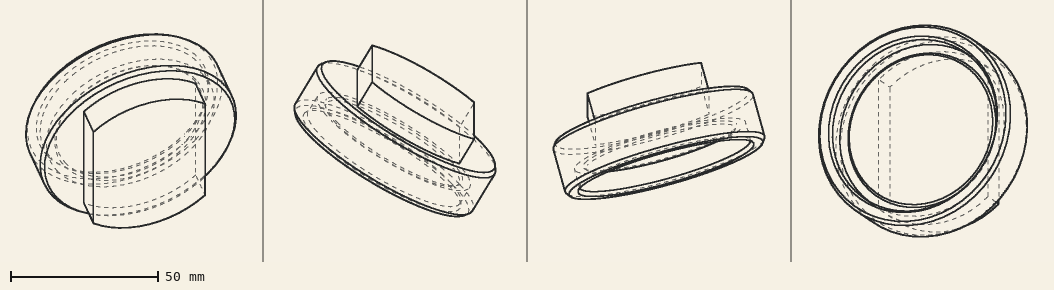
import cadquery as cq

body_diameter = 70.3
body_length = 18.0
rim_chamfer_length = 1.5
rim_chamfer_height = 1.05

tongue_diameter = 60.7
tongue_width = 40.0
tongue_length = 10.0

mouth_diameter = 61.85
recess_diameter = 60.2
mouth_taper_length = 1.5
recess_depth = 8.0
floor_diameter = 54.1
pad_diameter = 52.6
pad_height = 0.85


def make_body():
    radius = body_diameter / 2
    face_radius = radius - rim_chamfer_height
    profile = [
        (0, 0),
        (0, face_radius),
        (rim_chamfer_length, radius),
        (body_length - rim_chamfer_length, radius),
        (body_length, face_radius),
        (body_length, 0),
    ]
    return cq.Workplane("XZ").polyline(profile).close().revolve(360, (0, 0), (1, 0))


def make_recess():
    profile = [
        (0, 0),
        (0, mouth_diameter / 2),
        (mouth_taper_length, recess_diameter / 2),
        (recess_depth, recess_diameter / 2),
        (recess_depth, floor_diameter / 2),
        (recess_depth - pad_height, pad_diameter / 2),
        (recess_depth - pad_height, 0),
    ]
    return cq.Workplane("XZ").polyline(profile).close().revolve(360, (0, 0), (1, 0))


def make_tongue():
    body_back = cq.Workplane("YZ", origin=(body_length, 0, 0))
    cylinder = body_back.circle(tongue_diameter / 2).extrude(tongue_length)
    slab = body_back.rect(tongue_width, tongue_diameter).extrude(tongue_length)
    return cylinder.intersect(slab)


result = make_body().cut(make_recess()).union(make_tongue())